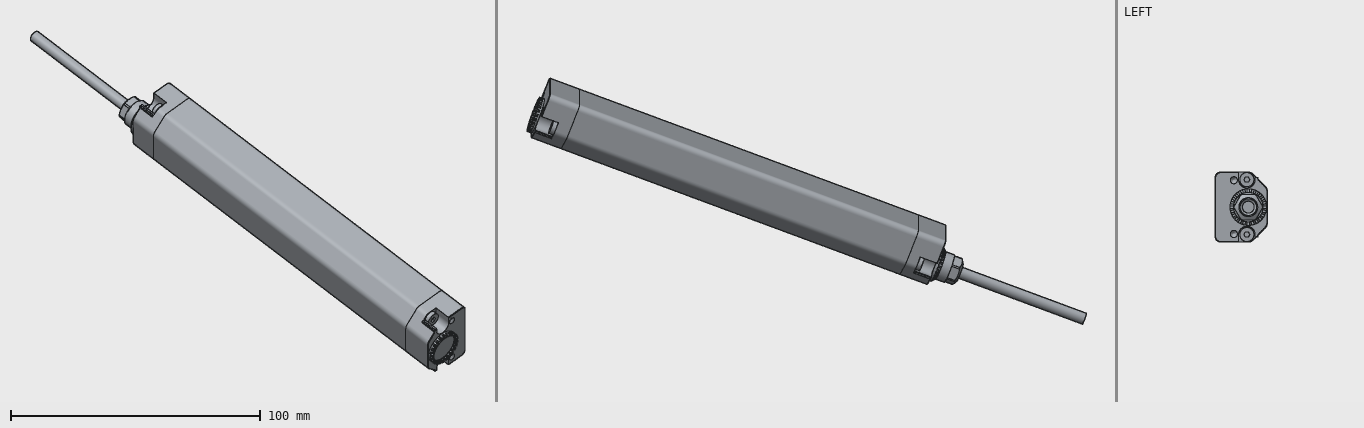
import cadquery as cq
import math

total_length = 236.2
cable_length = 53.4
gland_length = 11.0
knob_length = 2.0
cap_length = 11.8
knob_cap_length = 12.8
cap_start = cable_length + gland_length
cap_end = total_length - knob_length
tube_start = cap_start + cap_length
tube_end = cap_end - knob_cap_length

width = 21.0
height = 28.0
bevel = 6.5
bevel_round = 3.0
back_round = 2.4
half_width = width / 2
half_height = height / 2
end_chamfer = 0.2

knob_radius = 7.3
axis_y = -2.8
cable_radius = 2.4
hexagon_sides = 6
nut_length = 4.5
nut_across_flats = 10.2
nut_face_radius = 3.8
nut_corner_radius = 5.7
nut_cone_length = 1.2
funnel_radius = 3.3
funnel_depth = 0.7
collar_length = 3.8
collar_radius = 6.0
flange_length = gland_length - nut_length - collar_length
flange_rim_length = 1.5
crown_inner_radius = 6.1
tooth_count = 24
tooth_gap = 1.0
tooth_height = 1.2

slot_length = 7.3
slot_radius = 3.3
slot_to_back = 12.8
slot_to_top = 3.0
slot_y = half_width - slot_to_back
slot_z = half_height - slot_to_top
lip_thickness = 1.2
lip_drop = 2.1
lip_top = half_height - lip_drop
head_radius = 2.8
head_length = 2.0
socket_size = 2.4
socket_depth = 1.0
pin_hole_radius = 1.5
pin_hole_depth = 1.5
pin_hole_to_back = 7.5
pin_hole_to_top = 3.3
pin_hole_y = half_width - pin_hole_to_back
pin_hole_z = half_height - pin_hole_to_top


def rod(start, length, radius, y=axis_y, z=0.0):
    """Cylinder along +X whose first face lies at X = start."""
    return cq.Workplane("YZ", origin=(start, y, z)).circle(radius).extrude(length)


def profile_bar(start, length):
    """Length of the bevelled tube section along +X."""
    bar = (
        cq.Workplane("YZ", origin=(start, 0, 0))
        .moveTo(half_width, -half_height)
        .lineTo(half_width, half_height)
        .lineTo(bevel - half_width, half_height)
        .lineTo(-half_width, half_height - bevel)
        .lineTo(-half_width, bevel - half_height)
        .lineTo(bevel - half_width, -half_height)
        .close()
        .extrude(length)
    )
    bar = bar.edges("|X and (not >Y)").fillet(bevel_round)
    return bar.edges("|X and >Y").fillet(back_round)


def screw_slot(face_x):
    """Open-topped slot with a round floor, running inward (+X) from a cap's end face."""
    floor = rod(face_x, slot_length, slot_radius, slot_y, slot_z)
    opening = cq.Workplane("XY", origin=(face_x, slot_y, slot_z)).box(
        slot_length, 2 * slot_radius, half_height, centered=(False, True, False)
    )
    return floor.union(opening)


def slot_lip(face_x):
    """Thin wall that carries the slot out past the bevel, cut flat on top."""
    sleeve = rod(face_x, slot_length, slot_radius + lip_thickness, slot_y, slot_z)
    above = cq.Workplane("XY", origin=(face_x, slot_y, lip_top)).box(
        slot_length, width, height, centered=(False, True, False)
    )
    return sleeve.cut(above)


def screw_head(face_x):
    """Socket screw head on the inner wall of a slot."""
    head_x = face_x + slot_length - head_length
    head = rod(head_x, head_length, head_radius, slot_y, slot_z)
    socket = (
        cq.Workplane("YZ", origin=(head_x, slot_y, slot_z))
        .polygon(hexagon_sides, socket_size)
        .extrude(socket_depth)
    )
    return head.cut(socket)


def pin_hole(face_x):
    """Conical hole running inward from a cap's end face."""
    return cq.Workplane(
        cq.Solid.makeCone(
            pin_hole_radius, 0, pin_hole_depth,
            cq.Vector(face_x, pin_hole_y, pin_hole_z), cq.Vector(1, 0, 0),
        )
    )


def plain_cap(face_x, length):
    """Cap with its end face at X = face_x and its joint with the tube on the +X side."""
    cap = profile_bar(face_x, length).faces("<X").chamfer(end_chamfer)
    upper_lip = slot_lip(face_x)
    cap = cap.union(upper_lip).union(upper_lip.mirror("XY"))
    for tool in (screw_slot(face_x), pin_hole(face_x)):
        cap = cap.cut(tool).cut(tool.mirror("XY"))
    head = screw_head(face_x)
    return cap.union(head).union(head.mirror("XY"))


def cut_teeth(disc, tip_x, tooth_height, root_radius):
    """Radial gaps outside root_radius that leave a ring of teeth with tips at X = tip_x."""
    gap = cq.Workplane("XY").box(tooth_height, tooth_gap, knob_radius, centered=(False, True, False))
    gap = gap.translate((tip_x, axis_y, root_radius))
    for i in range(tooth_count):
        disc = disc.cut(gap.rotate((0, axis_y, 0), (1, axis_y, 0), i * 360 / tooth_count))
    return disc


def knob(start):
    """Disc with a ring of teeth around a shallow recess on its -X side."""
    disc = rod(start, knob_length, knob_radius)
    disc = disc.cut(rod(start, tooth_height, crown_inner_radius))
    return cut_teeth(disc, start, tooth_height, crown_inner_radius)


def flared_collar(start):
    """Round collar that widens along a toothed cone into a flange against the cap."""
    flare_start = start + collar_length
    flange_end = flare_start + flange_length
    rim_start = flange_end - flange_rim_length
    collar = (
        cq.Workplane("XY", origin=(0, axis_y, 0))
        .moveTo(start, 0)
        .lineTo(start, collar_radius)
        .lineTo(flare_start, collar_radius)
        .lineTo(rim_start, knob_radius)
        .lineTo(flange_end, knob_radius)
        .lineTo(flange_end, 0)
        .close()
        .revolve(360, (0, 0), (1, 0))
    )
    return cut_teeth(collar, flare_start, rim_start - flare_start, collar_radius)


def gland_nut(start):
    """Hexagon nut with corners on the Y axis, a coned face and a funnel around the cable."""
    corner_diameter = nut_across_flats / math.cos(math.pi / hexagon_sides)
    nut = (
        cq.Workplane("YZ", origin=(start, axis_y, 0))
        .polygon(hexagon_sides, corner_diameter)
        .extrude(nut_length)
    )
    axis_start = cq.Vector(start, axis_y, 0)
    axis = cq.Vector(1, 0, 0)
    cone = cq.Solid.makeCone(nut_face_radius, nut_corner_radius, nut_cone_length, axis_start, axis)
    barrel = rod(start + nut_cone_length, nut_length - nut_cone_length, nut_corner_radius)
    envelope = cq.Workplane(cone).union(barrel)
    funnel = cq.Solid.makeCone(funnel_radius, cable_radius, funnel_depth, axis_start, axis)
    return nut.intersect(envelope).cut(cq.Workplane(funnel))


def make_cable_cap():
    """Cap with the cable gland and the cable."""
    nut_start = cable_length
    collar_start = nut_start + nut_length
    cap = plain_cap(cap_start, cap_length)
    cap = cap.union(flared_collar(collar_start))
    cap = cap.union(gland_nut(nut_start))
    return cap.union(rod(0, collar_start, cable_radius))


def make_knob_cap():
    """Closing cap with a toothed knob, built facing -X and mirrored to face +X."""
    cap = plain_cap(-cap_end, knob_cap_length).union(knob(-total_length))
    return cap.mirror("YZ")


tube = profile_bar(tube_start, tube_end - tube_start)
cable_cap = make_cable_cap()
knob_cap = make_knob_cap()

result = cq.Compound.makeCompound([tube.val(), cable_cap.val(), knob_cap.val()])